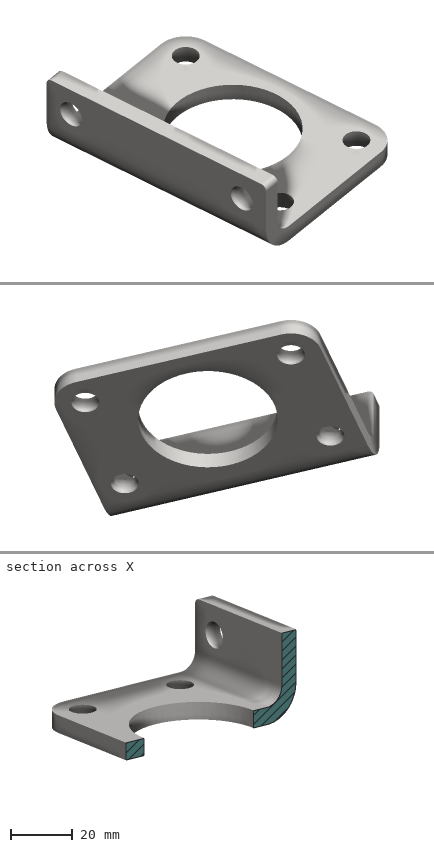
import cadquery as cq

width = 90.0
depth = 70.0
height = 30.0
thickness = 6.0

bend_inner_radius = 6.0
bend_outer_radius = bend_inner_radius + thickness

base_corner_radius = 10.0
flange_corner_radius = 2.0

bore_diameter = 45.0
bolt_diameter = 9.0
bolt_spacing_x = 70.0
bolt_spacing_y = 40.0
bore_to_flange_face = 40.0
flange_hole_height = 20.0

front_y = -bore_to_flange_face
back_y = front_y + depth


def bent_plate():
    """L-shaped plate with a rolled bend, extruded along X."""
    profile = (
        cq.Workplane("YZ", origin=(-width / 2, 0, 0))
        .moveTo(back_y, 0)
        .lineTo(back_y, thickness)
        .lineTo(front_y + bend_outer_radius, thickness)
        .radiusArc((front_y + thickness, bend_outer_radius), bend_inner_radius)
        .lineTo(front_y + thickness, height)
        .lineTo(front_y, height)
        .lineTo(front_y, bend_outer_radius)
        .radiusArc((front_y + bend_outer_radius, 0), -bend_outer_radius)
        .close()
    )
    return profile.extrude(width)


def round_corners(plate):
    """Round the back corners of the base and the top corners of the flange."""
    plate = plate.edges("|Z and >Y").fillet(base_corner_radius)
    return plate.faces(">Z").edges("|Y").fillet(flange_corner_radius)


def base_holes():
    """Cutters for the central bore and the four bolt holes around it."""
    bore = cq.Workplane("XY").circle(bore_diameter / 2).extrude(thickness)
    bolts = (
        cq.Workplane("XY")
        .rarray(bolt_spacing_x, bolt_spacing_y, 2, 2)
        .circle(bolt_diameter / 2)
        .extrude(thickness)
    )
    return bore.union(bolts)


def flange_holes():
    """Cutters for the two bolt holes through the upright flange."""
    return (
        cq.Workplane("XZ", origin=(0, front_y, flange_hole_height))
        .rarray(bolt_spacing_x, 1, 2, 1)
        .circle(bolt_diameter / 2)
        .extrude(-thickness)
    )


result = round_corners(bent_plate()).cut(base_holes()).cut(flange_holes())